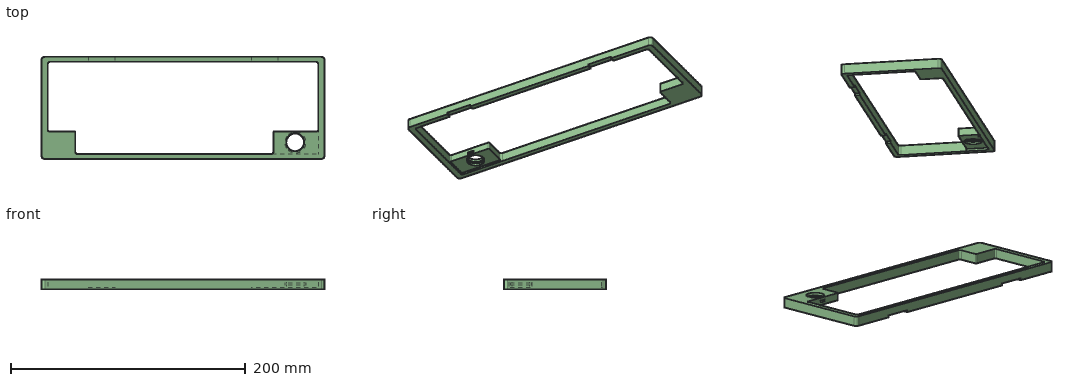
import cadquery as cq

length = 241.5
width = 87.2
height = 8.5
outer_radius = 3.0

side_rail = 5.5
long_rail = 4.3
pad_depth = 23.7
left_pad_length = 29.0
right_pad_length = 43.7
window_radius = 2.0
pad_radius = 1.05

hole_diameter = 15.0
hole_from_right = 25.1
hole_from_front = 14.3
groove_diameter = 17.9
groove_height = 1.7
groove_from_top = 2.7

recess_height = 2.0

notch_length = 22.5
notch_height = 1.7
notch_offset = 69.5

left = -length / 2
right = length / 2
front = -width / 2
back = width / 2


def box_between(x_min, x_max, y_min, y_max, tall):
    """Upright box resting on Z = 0 between the given limits."""
    return cq.Workplane("XY").box(
        x_max - x_min, y_max - y_min, tall, centered=False
    ).translate((x_min, y_min, 0))


def make_window():
    """T-shaped opening: a wide back part and a narrower part between the pads."""
    pad_back = front + pad_depth
    pad_left = left + left_pad_length
    pad_right = right - right_pad_length
    inner_front = front + long_rail
    inner_back = back - long_rail
    wide = box_between(left + side_rail, right - side_rail, pad_back, inner_back, height)
    narrow = box_between(pad_left, pad_right, inner_front, inner_back, height)
    window = wide.union(narrow).clean()
    window = window.edges("|Z").edges(">Y or <Y").fillet(window_radius)
    middle = cq.selectors.BoxSelector(
        (left, pad_back - pad_radius, -height), (right, pad_back + pad_radius, 2 * height)
    )
    return window.edges("|Z").edges(middle).fillet(pad_radius)


frame = box_between(left, right, front, back, height).edges("|Z").fillet(outer_radius)
frame = frame.cut(make_window())

recess = box_between(
    right - right_pad_length, right - side_rail, front + long_rail, front + pad_depth, recess_height
)
frame = frame.cut(recess)

hole_base = cq.Workplane("XY").center(right - hole_from_right, front + hole_from_front)
hole = hole_base.circle(hole_diameter / 2).extrude(height)
groove_floor = height - groove_from_top - groove_height
groove = (
    hole_base.workplane(offset=groove_floor)
    .circle(groove_diameter / 2)
    .extrude(groove_height)
)
frame = frame.cut(hole).cut(groove)

for center in (-notch_offset, notch_offset):
    notch = box_between(
        center - notch_length / 2, center + notch_length / 2, back - long_rail, back, notch_height
    )
    frame = frame.cut(notch)

result = frame